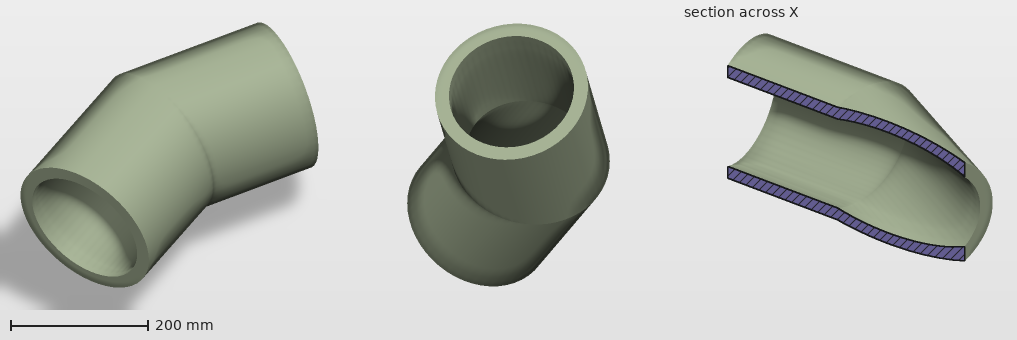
import cadquery as cq
import math

overall_length = 429.2
outer_diameter = 225.0
wall = 20.5
bend_angle = math.radians(30.0)

outer_radius = outer_diameter / 2
inner_radius = outer_radius - wall
mitre_angle = bend_angle / 2

end_rise = outer_radius * math.sin(bend_angle)
leg_length = (overall_length - end_rise) / (1 + math.cos(bend_angle))

corner = (0, leg_length, 0)
mitre_normal = (math.sin(mitre_angle), math.cos(mitre_angle), 0)
mitre_rise = outer_radius * math.tan(mitre_angle)


def inlet_leg():
    """Tube along +Y with a square inlet at Y = 0 and a mitred far end."""
    long_side = leg_length + mitre_rise
    short_side = leg_length - mitre_rise
    tube = (
        cq.Workplane("XZ")
        .circle(outer_radius)
        .circle(inner_radius)
        .extrude(-long_side)
    )
    mitred_envelope = (
        cq.Workplane("XY")
        .polyline([
            (-outer_radius, 0),
            (outer_radius, 0),
            (outer_radius, short_side),
            (-outer_radius, long_side),
        ])
        .close()
        .extrude(outer_diameter, both=True)
    )
    return tube.intersect(mitred_envelope)


inlet = inlet_leg()
mitre_plane = cq.Plane(origin=corner, xDir=(0, 0, 1), normal=mitre_normal)
outlet = (
    inlet.val()
    .moved(mitre_plane.location.inverse)
    .mirror("XY")
    .moved(mitre_plane.location)
)
result = inlet.union(cq.Workplane(outlet))